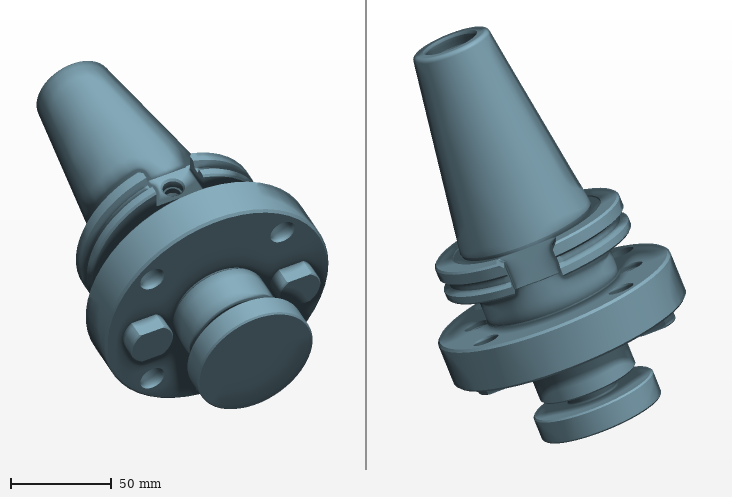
import cadquery as cq
import math


TAPER_LENGTH = 101.7
TAPER_LARGE_DIAMETER = 69.8
TAPER_SMALL_DIAMETER = TAPER_LARGE_DIAMETER - TAPER_LENGTH * 7 / 24
TAPER_END_FILLET = 2.5
NECK_RELIEF_DEPTH = 0.6

GRIPPER_START = 103.0
GRIPPER_WIDTH = 17.9
GRIPPER_END = GRIPPER_START + GRIPPER_WIDTH
GRIPPER_DIAMETER = 98.4
GRIPPER_CHAMFER = 1.0
GROOVE_CENTER = 112.8
GROOVE_DEPTH = 3.7
GROOVE_FLOOR_WIDTH = 3.3
GROOVE_WALL_ANGLE = 25
FACE_RECESS_DIAMETER = 79.0
FACE_RECESS_DEPTH = 0.6
FACE_RECESS_FILLET = 0.5

SLOT_WIDTH = 25.9
SLOT_CHAMFER = 2.9
SLOT_FLOOR_FILLET = 0.6
UPPER_SLOT_FLOOR = 37.5
LOWER_SLOT_FLOOR = 35.1

SLOT_HOLE_MOUTH_DIAMETER = 12.1
SLOT_HOLE_DIAMETER = 10.0
SLOT_HOLE_DEPTH = 5.1
SLOT_DRILL_DIAMETER = 8.0
SLOT_DRILL_DEPTH = 8.2
DRILL_POINT_ANGLE = 118

BODY_DIAMETER = TAPER_LARGE_DIAMETER
BODY_END_FILLET = 0.6

CUTTER_FLANGE_START = 139.5
CUTTER_FLANGE_END = 162.7
CUTTER_FLANGE_DIAMETER = 123.9
CUTTER_FLANGE_CHAMFER = 1.2
BOLT_HOLE_DIAMETER = 13.4
BOLT_HOLE_SPACING = 71.9
KEY_CENTER = 40.7
KEY_SCREW_DIAMETER = 6.4
KEY_SCREW_HEAD_DIAMETER = 13.4
KEY_SCREW_HEAD_DEPTH = 2.9
KEY_SCREW_SEAT_BEVEL = 0.5
KEY_SCREW_HOLE_CHAMFER = 0.6

PILOT_DIAMETER = 50.7
PILOT_END = 186.7
PILOT_CHAMFER = 0.8
PILOT_RELIEF_DIAMETER = 49.3
PILOT_RELIEF_WIDTH = 0.8

BORE_MOUTH_DIAMETER = 28.8
BORE_ENTRY_DIAMETER = 26.3
BORE_ENTRY_DEPTH = 5.8
BORE_DIAMETER = 22.0
BORE_DEPTH = 61.6

KEY_DIAMETER = 23.5
KEY_WIDTH = 19.1
KEY_HEIGHT = 9.7
KEY_CHAMFER = 0.6

SCREW_DIAMETER = 25.5
SCREW_HEAD_DIAMETER = 63.7
SCREW_HEAD_START = 192.7
SCREW_HEAD_CHAMFER = 0.8
SCREW_NECK_FILLET = 1.0
SCREW_TIP = CUTTER_FLANGE_END
OVERALL_LENGTH = 205.5


def rod_x(diameter, start, end, y=0, z=0):
    """Cylinder parallel to X between two x positions."""
    return cq.Workplane("YZ", origin=(start, y, z)).circle(diameter / 2).extrude(end - start)


def revolve_about_x(profile):
    """Turn a closed (x, radius) outline about the X axis."""
    return cq.Workplane("XY").polyline(profile).close().revolve(360, (0, 0, 0), (1, 0, 0))


def taper():
    """Solid cone with a rounded small end and a relieved neck that joins the gripper flange."""
    large_radius = TAPER_LARGE_DIAMETER / 2
    cone = revolve_about_x([
        (0, 0),
        (0, TAPER_SMALL_DIAMETER / 2),
        (TAPER_LENGTH, large_radius),
        (TAPER_LENGTH, 0),
    ])
    cone = cone.faces("<X").edges().fillet(TAPER_END_FILLET)
    neck_diameter = TAPER_LARGE_DIAMETER - 2 * NECK_RELIEF_DEPTH
    return cone.union(rod_x(neck_diameter, TAPER_LENGTH, GRIPPER_END))


def v_groove():
    """Ring cutter for the groove around the gripper flange."""
    rim = GRIPPER_DIAMETER / 2
    floor = rim - GROOVE_DEPTH
    half_floor = GROOVE_FLOOR_WIDTH / 2
    half_mouth = half_floor + GROOVE_DEPTH * math.tan(math.radians(GROOVE_WALL_ANGLE))
    return revolve_about_x([
        (GROOVE_CENTER - half_mouth, rim),
        (GROOVE_CENTER - half_floor, floor),
        (GROOVE_CENTER + half_floor, floor),
        (GROOVE_CENTER + half_mouth, rim),
    ])


def drive_slot(floor_height):
    """Cutter for a slot open to +Z, flared at its entry face."""
    half_slot = SLOT_WIDTH / 2
    half_mouth = half_slot + SLOT_CHAMFER
    slot_end = GRIPPER_END + BODY_END_FILLET
    outline = [
        (GRIPPER_START, -half_mouth),
        (GRIPPER_START + SLOT_CHAMFER, -half_slot),
        (slot_end, -half_slot),
        (slot_end, half_slot),
        (GRIPPER_START + SLOT_CHAMFER, half_slot),
        (GRIPPER_START, half_mouth),
    ]
    slot = cq.Workplane("XY", origin=(0, 0, floor_height)).polyline(outline).close().extrude(GRIPPER_DIAMETER)
    return slot.faces("<Z").edges("not |Y").fillet(SLOT_FLOOR_FILLET)


def gripper_flange():
    flange = rod_x(GRIPPER_DIAMETER, GRIPPER_START, GRIPPER_END).edges().chamfer(GRIPPER_CHAMFER)
    recess = rod_x(FACE_RECESS_DIAMETER, GRIPPER_START, GRIPPER_START + FACE_RECESS_DEPTH)
    recess = recess.faces(">X").edges().fillet(FACE_RECESS_FILLET)
    return flange.cut(v_groove()).cut(recess)


def body():
    """Cylinder that flares into the flanges at both ends with a concave fillet."""
    radius = BODY_DIAMETER / 2
    flare_radius = radius + BODY_END_FILLET
    profile = (
        cq.Workplane("XY")
        .moveTo(GRIPPER_END, 0)
        .lineTo(GRIPPER_END, flare_radius)
        .radiusArc((GRIPPER_END + BODY_END_FILLET, radius), -BODY_END_FILLET)
        .lineTo(CUTTER_FLANGE_START - BODY_END_FILLET, radius)
        .radiusArc((CUTTER_FLANGE_START, flare_radius), -BODY_END_FILLET)
        .lineTo(CUTTER_FLANGE_START, 0)
        .close()
    )
    return profile.revolve(360, (0, 0, 0), (1, 0, 0))


def slot_hole():
    """Stepped hole down from the upper slot floor, with a chamfered mouth and a conical bottom."""
    mouth_radius = SLOT_HOLE_MOUTH_DIAMETER / 2
    hole_radius = SLOT_HOLE_DIAMETER / 2
    drill_radius = SLOT_DRILL_DIAMETER / 2
    point_length = drill_radius / math.tan(math.radians(DRILL_POINT_ANGLE / 2))
    profile = [
        (0, 0),
        (mouth_radius, 0),
        (hole_radius, hole_radius - mouth_radius),
        (hole_radius, -SLOT_HOLE_DEPTH),
        (drill_radius, -SLOT_HOLE_DEPTH),
        (drill_radius, -SLOT_DRILL_DEPTH),
        (0, -SLOT_DRILL_DEPTH - point_length),
    ]
    hole = cq.Workplane("XZ").polyline(profile).close().revolve(360, (0, 0, 0), (0, 1, 0))
    return hole.translate((GROOVE_CENTER, 0, UPPER_SLOT_FLOOR))


def cutter_flange():
    flange = rod_x(CUTTER_FLANGE_DIAMETER, CUTTER_FLANGE_START, CUTTER_FLANGE_END)
    flange = flange.edges().chamfer(CUTTER_FLANGE_CHAMFER)
    for y in (-BOLT_HOLE_SPACING / 2, BOLT_HOLE_SPACING / 2):
        for z in (-BOLT_HOLE_SPACING / 2, BOLT_HOLE_SPACING / 2):
            flange = flange.cut(rod_x(BOLT_HOLE_DIAMETER, CUTTER_FLANGE_START, CUTTER_FLANGE_END, y, z))
    return flange


def key_screw_hole(y):
    """Counterbored hole through the cutter flange behind a drive key."""
    head_radius = KEY_SCREW_HEAD_DIAMETER / 2
    hole_radius = KEY_SCREW_DIAMETER / 2
    seat = CUTTER_FLANGE_START + KEY_SCREW_HEAD_DEPTH
    hole = revolve_about_x([
        (CUTTER_FLANGE_START, 0),
        (CUTTER_FLANGE_START, head_radius),
        (seat - KEY_SCREW_SEAT_BEVEL, head_radius),
        (seat, head_radius - KEY_SCREW_SEAT_BEVEL),
        (seat, hole_radius + KEY_SCREW_HOLE_CHAMFER),
        (seat + KEY_SCREW_HOLE_CHAMFER, hole_radius),
        (CUTTER_FLANGE_END, hole_radius),
        (CUTTER_FLANGE_END, 0),
    ])
    return hole.translate((0, y, 0))


def pilot():
    relief_end = CUTTER_FLANGE_END + PILOT_RELIEF_WIDTH
    land = rod_x(PILOT_DIAMETER, relief_end, PILOT_END).edges().chamfer(PILOT_CHAMFER)
    return land.union(rod_x(PILOT_RELIEF_DIAMETER, CUTTER_FLANGE_END, relief_end))


def taper_bore():
    """Blind bore with a beveled mouth and a 45-degree shoulder."""
    mouth_radius = BORE_MOUTH_DIAMETER / 2
    entry_radius = BORE_ENTRY_DIAMETER / 2
    bore_radius = BORE_DIAMETER / 2
    return revolve_about_x([
        (0, 0),
        (0, mouth_radius),
        (mouth_radius - entry_radius, entry_radius),
        (BORE_ENTRY_DEPTH, entry_radius),
        (BORE_ENTRY_DEPTH + entry_radius - bore_radius, bore_radius),
        (BORE_DEPTH, bore_radius),
        (BORE_DEPTH, 0),
    ])


def make_holder():
    holder = taper().union(gripper_flange()).union(body()).union(cutter_flange()).union(pilot())
    holder = holder.cut(drive_slot(UPPER_SLOT_FLOOR)).cut(slot_hole())
    holder = holder.cut(drive_slot(LOWER_SLOT_FLOOR).rotate((0, 0, 0), (1, 0, 0), 180))
    for y in (-KEY_CENTER, KEY_CENTER):
        holder = holder.cut(key_screw_hole(y))
    screw_hole = rod_x(SCREW_DIAMETER, SCREW_TIP, PILOT_END)
    return holder.cut(taper_bore()).cut(screw_hole)


def make_drive_key(y):
    """Round key with two flats, standing on the front face of the cutter flange."""
    key_end = CUTTER_FLANGE_END + KEY_HEIGHT
    disc = rod_x(KEY_DIAMETER, CUTTER_FLANGE_END, key_end, y).faces(">X").edges().chamfer(KEY_CHAMFER)
    key_seat = cq.Workplane("YZ", origin=(CUTTER_FLANGE_END, y, 0))
    return disc.intersect(key_seat.rect(KEY_DIAMETER, KEY_WIDTH).extrude(KEY_HEIGHT))


def make_arbor_screw():
    """Large round head on a shank, with a concave fillet between them."""
    head = rod_x(SCREW_HEAD_DIAMETER, SCREW_HEAD_START, OVERALL_LENGTH).edges().chamfer(SCREW_HEAD_CHAMFER)
    shank = rod_x(SCREW_DIAMETER, SCREW_TIP, SCREW_HEAD_START)
    neck_corner = cq.selectors.RadiusNthSelector(0)
    return head.union(shank).edges(neck_corner).edges(">X").fillet(SCREW_NECK_FILLET)


holder = make_holder()
drive_keys = [make_drive_key(y) for y in (-KEY_CENTER, KEY_CENTER)]
arbor_screw = make_arbor_screw()

result = cq.Compound.makeCompound([
    holder.val(),
    *[key.val() for key in drive_keys],
    arbor_screw.val(),
])